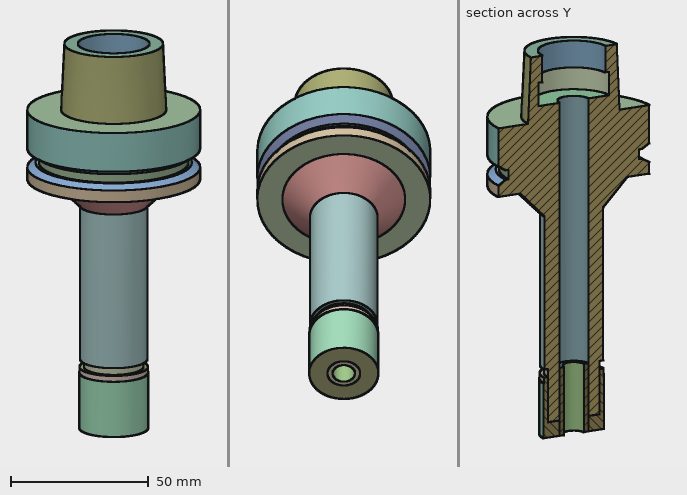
import cadquery as cq

total_height = 145.0
flange_top = 120.0
flange_bottom = 94.0
shaft_top = 84.0
neck_top = 26.0
nut_top = 23.0
nut_collar_height = 2.2

taper_top_radius = 18.0
taper_base_radius = 19.1
flange_radius = 31.5
shaft_radius = 12.3
neck_radius = 10.9
cone_height = flange_bottom - shaft_top
cone_top_radius = shaft_radius + cone_height

groove_center = 102.0
groove_mouth_width = 7.1
groove_floor_width = 3.5
groove_shelf_radius = 28.4
groove_floor_radius = 27.3

bore_radius = 13.0
bore_lip_depth = 10.2
chamber_radius = 14.6
chamber_depth = 18.8

nut_radius = 12.6
nut_collar_radius = 12.5
nut_front_wall = 5.8
collet_radius = 6.0
collet_hole_radius = 4.0


def revolved(outline):
    """Solid of revolution about Z from a closed outline of (radius, height) points."""
    return cq.Workplane("XZ").polyline(outline).close().revolve(360, (0, 0), (0, 1))


def cylinder(radius, bottom, top):
    return cq.Workplane("XY").workplane(offset=bottom).circle(radius).extrude(top - bottom)


def make_holder():
    """Tapered shank, grooved flange, cone, shaft and the neck that enters the nut."""
    mouth_top = groove_center + groove_mouth_width / 2
    mouth_bottom = groove_center - groove_mouth_width / 2
    floor_top = groove_center + groove_floor_width / 2
    floor_bottom = groove_center - groove_floor_width / 2
    body = revolved([
        (0, total_height),
        (taper_top_radius, total_height),
        (taper_base_radius, flange_top),
        (flange_radius, flange_top),
        (flange_radius, mouth_top),
        (groove_shelf_radius, floor_top),
        (groove_floor_radius, floor_top),
        (groove_floor_radius, floor_bottom),
        (groove_shelf_radius, floor_bottom),
        (flange_radius, mouth_bottom),
        (flange_radius, flange_bottom),
        (cone_top_radius, flange_bottom),
        (shaft_radius, shaft_top),
        (shaft_radius, neck_top),
        (neck_radius, neck_top),
        (neck_radius, nut_front_wall),
        (0, nut_front_wall),
    ])
    lip_height = total_height - bore_lip_depth
    chamber_floor = total_height - chamber_depth
    clamping_bore = cylinder(bore_radius, lip_height, total_height)
    chamber = cylinder(chamber_radius, chamber_floor, lip_height)
    through_bore = cylinder(collet_radius, nut_front_wall, chamber_floor)
    return body.cut(clamping_bore).cut(chamber).cut(through_bore)


def make_nut():
    """Clamping nut with a slightly smaller collar, recessed for the holder neck."""
    collar_bottom = nut_top - nut_collar_height
    nut = cylinder(nut_radius, 0, collar_bottom)
    nut = nut.union(cylinder(nut_collar_radius, collar_bottom, nut_top))
    neck_recess = cylinder(neck_radius, nut_front_wall, nut_top)
    collet_opening = cylinder(collet_radius, 0, nut_front_wall)
    return nut.cut(neck_recess).cut(collet_opening)


def make_collet():
    """Plain sleeve filling the bore from the nut face to the top of the exposed neck."""
    sleeve = cylinder(collet_radius, 0, neck_top)
    return sleeve.cut(cylinder(collet_hole_radius, 0, neck_top))


holder = make_holder()
nut = make_nut()
collet = make_collet()

result = cq.Compound.makeCompound([holder.val(), nut.val(), collet.val()])